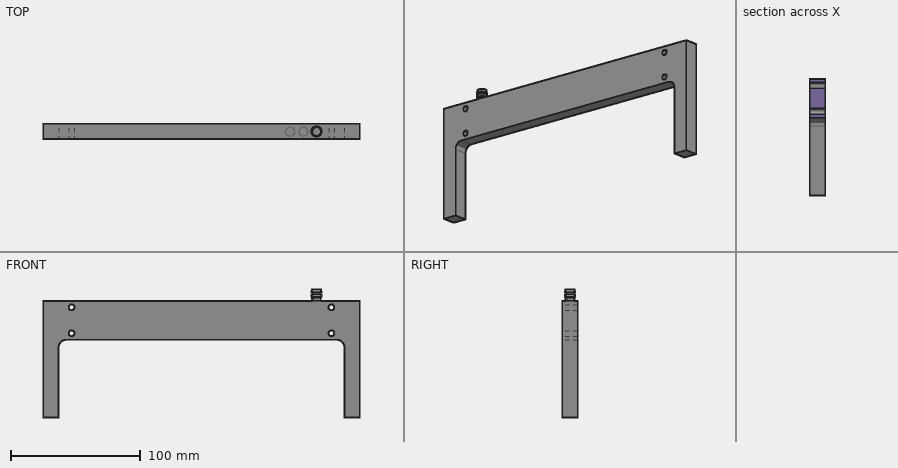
import cadquery as cq

length = 244.0
thickness = 12.0
frame_height = 90.0
leg_width = 12.0
beam_height = 30.0
inner_radius = 6.0

hole_diameter = 4.3
hole_spacing_x = 200.0
hole_spacing_z = 20.0
hole_top_margin = 5.0

plug_x = 88.5
row_pitch = 10.25
window_count = 2
window_diameter = 7.0
window_depth = 2.0

plug_height = 9.0
neck_radius = 3.5
collar_radius = 4.0
groove_radius = 3.0
tip_radius = 3.5
neck_top = 2.4
collar_bottom = 3.0
collar_top = 5.2
groove_top = 6.7


def make_frame():
    """Beam and legs, centred on X and Y, with the feet at Z = 0."""
    opening_width = length - 2 * leg_width
    opening_height = frame_height - beam_height
    frame = cq.Workplane("XY").box(length, thickness, frame_height, centered=(True, True, False))
    opening = (
        cq.Workplane("XY")
        .box(opening_width, thickness, opening_height, centered=(True, True, False))
        .edges("|Y and >Z")
        .fillet(inner_radius)
    )
    return frame.cut(opening)


def make_mounting_holes():
    """Four cylinders that pass through the beam along Y."""
    centre_z = frame_height - hole_top_margin - hole_spacing_z / 2
    return (
        cq.Workplane("XZ", origin=(0, 0, centre_z))
        .rarray(hole_spacing_x, hole_spacing_z, 2, 2)
        .circle(hole_diameter / 2)
        .extrude(thickness / 2, both=True)
    )


def make_plug():
    """Round plug with a bevelled collar, a groove and a tapered tip."""
    profile = [
        (0, 0),
        (neck_radius, 0),
        (neck_radius, neck_top),
        (collar_radius, collar_bottom),
        (collar_radius, collar_top),
        (groove_radius, collar_top),
        (groove_radius, groove_top),
        (collar_radius, groove_top),
        (tip_radius, plug_height),
        (0, plug_height),
    ]
    plug = cq.Workplane("XZ").polyline(profile).close().revolve(360, (0, 0, 0), (0, 1, 0))
    return plug.translate((plug_x, 0, frame_height))


def add_window(body, x):
    """Inset a round window flush with the top face, keeping its rim as an edge."""
    window = (
        cq.Workplane("XY", origin=(x, 0, frame_height))
        .circle(window_diameter / 2)
        .extrude(-window_depth)
    )
    return body.cut(window, clean=False).union(window, clean=False)


result = make_frame().cut(make_mounting_holes()).union(make_plug())
for place in range(1, window_count + 1):
    result = add_window(result, plug_x - place * row_pitch)